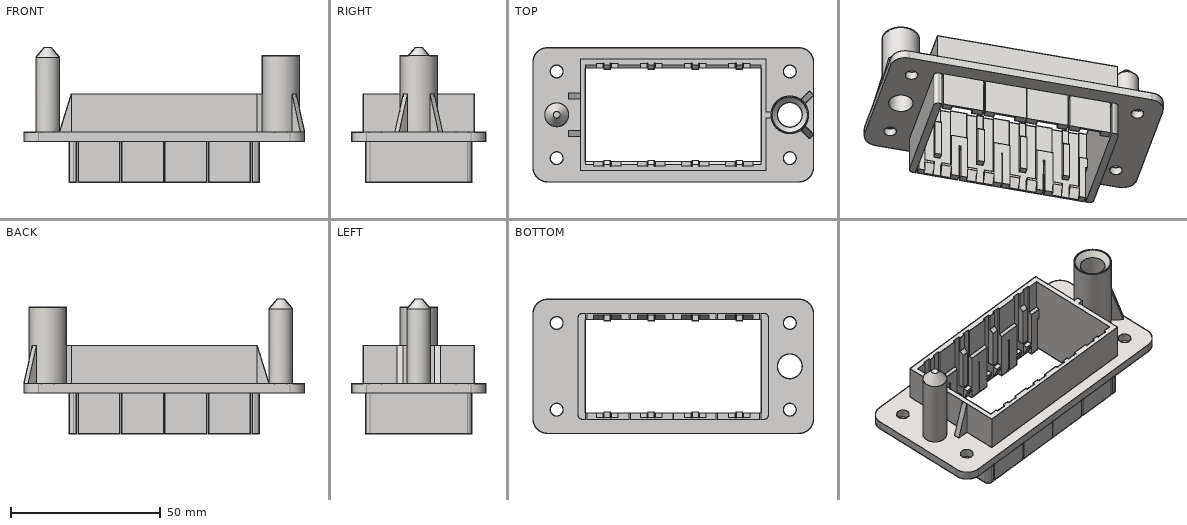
import cadquery as cq
import math

plate_length = 94.0
plate_width = 45.0
plate_thickness = 3.15
plate_corner_radius = 5.0
mount_hole_diameter = 4.2
post_x = 39.0
mount_hole_y = 14.5

collar_length = 62.2
collar_width = 37.2
collar_height = 12.85
skirt_length = 63.7
skirt_width = 35.5
skirt_corner_radius = 1.5
skirt_depth = 13.65
cavity_length = 58.8
cavity_width = 33.2
cavity_half_width = cavity_width / 2
frame_bottom = -plate_thickness - skirt_depth

slot_width = 0.6
middle_slot_width = 0.2
slot_pitch = 14.55
outer_slot_index = 2

station_pitch = 14.75
station_count = 4
station_xs = [(i - (station_count - 1) / 2) * station_pitch for i in range(station_count)]
groove_depth = 0.6
groove_inner_x = 1.1
groove_outer_x_back = 3.6
groove_outer_x_front = 4.6
panel_projection = 1.0
panel_top = 1.5
panel_slope_drop = 0.55
rib_projection = 1.4
rib_top = 6.8
rib_slope_drop = 1.1
rib_bottom = -8.8
tab_top = -12.2
tab_lip_height = 0.9
tab_clearance = 0.2

pin_diameter = 8.0
pin_tip_diameter = 2.3
pin_height = 28.4
pin_tip_length = 3.35
bushing_diameter = 12.6
bushing_height = 25.6
bushing_bore = 8.2
bushing_mouth_diameter = 11.8

web_thickness = 2.0
pin_side_web_length = 4.0
pin_side_web_y = 6.3
bushing_web_angle = 45.0
overlap = 0.5


def box(x_min, x_max, y_min, y_max, z_min, z_max):
    """Axis-aligned block between the given limits."""
    block = cq.Workplane("XY").box(x_max - x_min, y_max - y_min, z_max - z_min, centered=False)
    return block.translate((x_min, y_min, z_min))


def wall_strip(x_min, x_max, profile, side):
    """Prism running along X with a (y, z) profile drawn for the +Y wall; side -1 puts it on the -Y wall."""
    points = [(side * y, z) for y, z in profile]
    return cq.Workplane("YZ").polyline(points).close().extrude(x_max - x_min).translate((x_min, 0, 0))


def make_frame():
    """Plate, collar and skirt with the open cavity through them."""
    plate = cq.Workplane("XY").rect(plate_length, plate_width).extrude(-plate_thickness)
    plate = plate.edges("|Z").fillet(plate_corner_radius)
    collar = cq.Workplane("XY").rect(collar_length, collar_width).extrude(collar_height)
    skirt = cq.Workplane("XY").workplane(offset=frame_bottom).rect(skirt_length, skirt_width)
    skirt = skirt.extrude(skirt_depth).edges("|Z").fillet(skirt_corner_radius)
    cavity = cq.Workplane("XY").workplane(offset=frame_bottom).rect(cavity_length, cavity_width)
    cavity = cavity.extrude(collar_height - frame_bottom)
    return plate.union(collar).union(skirt).cut(cavity)


def make_wall_panels(side):
    """Thickened lower part of a long wall, with a sloped top."""
    front = cavity_half_width - panel_projection
    back = cavity_half_width + overlap
    profile = [
        (back, frame_bottom),
        (front, frame_bottom),
        (front, panel_top - panel_slope_drop),
        (cavity_half_width, panel_top),
        (back, panel_top),
    ]
    return wall_strip(-cavity_length / 2, cavity_length / 2, profile, side)


def make_station_recess(x, groove_outer_x, side):
    """Channel that clears the panel and sinks the grooves into a long wall at one station."""
    groove_back = cavity_half_width + groove_depth
    profile = [
        (0, frame_bottom),
        (groove_back, frame_bottom),
        (groove_back, collar_height),
        (0, collar_height),
    ]
    return wall_strip(x - groove_outer_x, x + groove_outer_x, profile, side)


def make_station_rib(x, side):
    """Land between the grooves, with the sloped-top rib on it."""
    groove_back = cavity_half_width + groove_depth + overlap
    front = cavity_half_width - rib_projection
    profile = [
        (groove_back, rib_bottom),
        (front, rib_bottom),
        (front, rib_top - rib_slope_drop),
        (cavity_half_width, rib_top),
        (cavity_half_width, collar_height),
        (groove_back, collar_height),
    ]
    return wall_strip(x - groove_inner_x, x + groove_inner_x, profile, side)


def make_groove_tabs(x, groove_outer_x, side):
    """Pair of tabs at the lower ends of the grooves: flat top, short lip, underside tapering to the wall."""
    groove_back = cavity_half_width + groove_depth
    front = cavity_half_width - panel_projection
    profile = [
        (groove_back, frame_bottom),
        (front, tab_top - tab_lip_height),
        (front, tab_top),
        (groove_back, tab_top),
    ]
    inner = groove_inner_x + tab_clearance
    left = wall_strip(x - groove_outer_x, x - inner, profile, side)
    right = wall_strip(x + inner, x + groove_outer_x, profile, side)
    return left.union(right)


def add_contact_stations(body):
    """Panels, grooves, ribs and tabs on both long inner walls."""
    for side, groove_outer_x in ((1, groove_outer_x_back), (-1, groove_outer_x_front)):
        body = body.union(make_wall_panels(side))
        for x in station_xs:
            body = body.cut(make_station_recess(x, groove_outer_x, side))
            body = body.union(make_station_rib(x, side))
            body = body.union(make_groove_tabs(x, groove_outer_x, side))
    return body


def cut_skirt_slots(body):
    """Narrow slots through both long skirt walls, from the bottom edge up to the plate."""
    panel_front = cavity_half_width - panel_projection
    for i in range(-outer_slot_index, outer_slot_index + 1):
        half = (middle_slot_width if i == 0 else slot_width) / 2
        x = i * slot_pitch
        slot = box(x - half, x + half, panel_front, skirt_width / 2, frame_bottom, -plate_thickness)
        body = body.cut(slot).cut(slot.mirror("XZ"))
    return body


def make_guide_pin():
    """Solid pin with a conical tip."""
    profile = [
        (0, -overlap),
        (pin_diameter / 2, -overlap),
        (pin_diameter / 2, pin_height - pin_tip_length),
        (pin_tip_diameter / 2, pin_height),
        (0, pin_height),
    ]
    pin = cq.Workplane("XZ").polyline(profile).close().revolve(360, (0, 0, 0), (0, 1, 0))
    return pin.translate((-post_x, 0, 0))


def make_bushing_bore():
    """Through bore with a 45 degree countersunk mouth."""
    mouth_depth = (bushing_mouth_diameter - bushing_bore) / 2
    profile = [
        (0, -plate_thickness),
        (bushing_bore / 2, -plate_thickness),
        (bushing_bore / 2, bushing_height - mouth_depth),
        (bushing_mouth_diameter / 2, bushing_height),
        (0, bushing_height),
    ]
    bore = cq.Workplane("XZ").polyline(profile).close().revolve(360, (0, 0, 0), (0, 1, 0))
    return bore.translate((post_x, 0, 0))


def make_gusset(inner, outer):
    """Triangular web in the XZ plane: full collar height at x = inner, zero at x = outer."""
    root = inner - math.copysign(overlap, outer - inner)
    profile = [(root, 0), (outer, 0), (inner, collar_height), (root, collar_height)]
    return cq.Workplane("XZ").polyline(profile).close().extrude(web_thickness / 2, both=True)


def add_guides(body):
    """Guide pin, guide bushing and their webs."""
    bushing = cq.Workplane("XY").circle(bushing_diameter / 2).extrude(bushing_height)
    body = body.union(make_guide_pin()).union(bushing.translate((post_x, 0, 0)))

    collar_end = collar_length / 2
    for side in (1, -1):
        gusset = make_gusset(-collar_end, -collar_end - pin_side_web_length)
        body = body.union(gusset.translate((0, side * pin_side_web_y, 0)))

    reach_x = plate_length / 2 - post_x
    angle = math.radians(bushing_web_angle)
    reach = (reach_x - web_thickness / 2 * math.sin(angle)) / math.cos(angle)
    for side in (1, -1):
        gusset = make_gusset(bushing_diameter / 2, reach)
        gusset = gusset.rotate((0, 0, 0), (0, 0, 1), side * bushing_web_angle)
        body = body.union(gusset.translate((post_x, 0, 0)))

    half_web = web_thickness / 2
    body = body.union(box(collar_end - overlap, post_x, -half_web, half_web, 0, collar_height))
    return body.cut(make_bushing_bore())


def cut_mounting_holes(body):
    """Four through holes at the plate corners."""
    centres = [(sx * post_x, sy * mount_hole_y) for sx in (1, -1) for sy in (1, -1)]
    holes = cq.Workplane("XY").pushPoints(centres).circle(mount_hole_diameter / 2).extrude(-plate_thickness)
    return body.cut(holes)


frame = add_contact_stations(make_frame())
frame = cut_skirt_slots(frame)
frame = add_guides(frame)
result = cut_mounting_holes(frame)